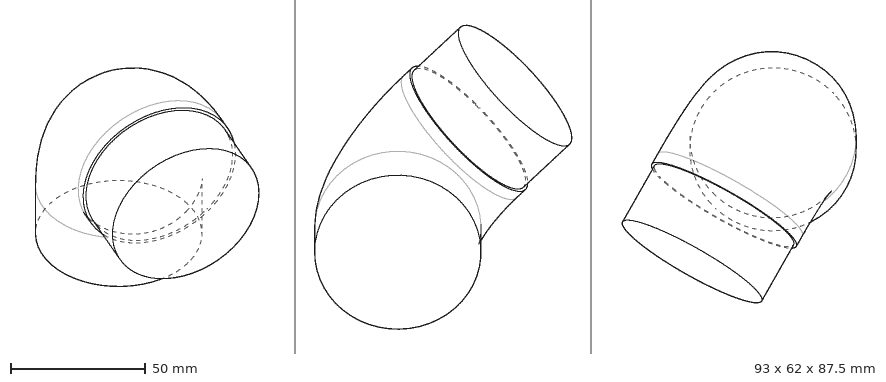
import cadquery as cq

length = 93.0
height = 87.5
body_diameter = 62.0
spigot_diameter = 59.7
lower_leg_length = 23.5
collar_length = 4.6

body_radius = body_diameter / 2
bend_outer_radius = height - lower_leg_length
bend_radius = bend_outer_radius - body_radius
spigot_length = length - bend_outer_radius - collar_length
outlet_axis_height = lower_leg_length + bend_radius


turn_start = (0, lower_leg_length)
turn_end = (bend_radius, outlet_axis_height)
centreline = (
    cq.Workplane("XZ")
    .lineTo(*turn_start)
    .tangentArcPoint(turn_end, relative=False)
    .lineTo(bend_radius + collar_length, outlet_axis_height)
)

body = cq.Workplane("XY").circle(body_radius).sweep(centreline)

spigot = (
    cq.Workplane("YZ", origin=(bend_radius + collar_length, 0, outlet_axis_height))
    .circle(spigot_diameter / 2)
    .extrude(spigot_length)
)

result = body.union(spigot)